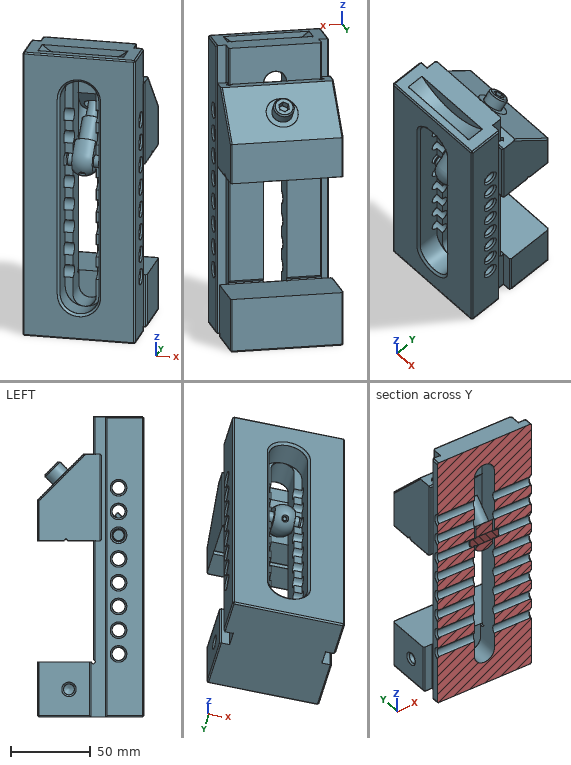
import cadquery as cq
import math


LENGTH = 190.0
WIDTH = 73.0
HEIGHT = 67.0
EDGE = 1.0
CHAMFER_ANGLE = 45

SHOULDER_Y = 24.1
RAIL_Y = 32.0
RAIL_WIDTH = 60.2
RELIEF = 1.5
FIXED_JAW_HEIGHT = 35.0
FIXED_JAW_GAP = 1.5
SLOT_WIDTH = 25.0
SLOT_LENGTH = 155.8
SLOT_CHAMFER = 1.5
NARROW_SLOT_WIDTH = 15.0
HOLE_D = 8.2
HOLE_CHAMFER = 1.1
HOLE_COUNT = 8
HOLE_PITCH = 15.0
FIRST_HOLE_Z = 39.9
HOLE_Y = 16.0
SCOOP_WIDTH = 55.5
SCOOP_Y = 5.5
SCOOP_THICKNESS = 11.8
SCOOP_DEPTH = 10.5
SIDE_HOLE_D = 6.8
SIDE_HOLE_DEPTH = 15.2
SIDE_HOLE_Y = 47.3
SIDE_HOLE_Z = 17.5

PIN_HOLE_INDEX = 5
PIN_Z = FIRST_HOLE_Z + PIN_HOLE_INDEX * HOLE_PITCH
SLOPE_DISTANCE = 51.9

JAW_BOTTOM = 111.3
JAW_TOP = 166.2
SKIRT_Y = 26.8
BORE_R = 9.0
BORE_END = 39.1
SCREW_HOLE_R = 6.5
GROOVE_Y = 49.2
GROOVE_DEPTH = 1.3

WASHER_R = 10.3
WASHER_THICKNESS = 5.7
SCREW_R = 4.0
HEAD_R = 6.6
HEAD_HEIGHT = 8.0
HEAD_CHAMFER = 1.0
SOCKET_FLATS = 6.0
SOCKET_DEPTH = 5.0
SCREW_TIP = 11.4
NUT_R = 9.9
NUT_WIDTH = 13.3
NUT_SHOULDER = 10.5
NECK_R = 6.0
NECK_END = 28.5
CENTRE_HOLE_R = 2.5
PILOT_R = 1.3
PILOT_DEPTH = 3.8
PIN_R = 4.0
PIN_LENGTH = 22.5
PIN_LEAD_LENGTH = 1.1
PIN_LEAD_DEPTH = 0.5

CLAMP_PLANE = cq.Plane(origin=(0, HOLE_Y, PIN_Z), xDir=(1, 0, 0), normal=(0, 1, 1))


def wide_box(width, y0, y1, z0, z1):
    """A box centred on X = 0."""
    corner = cq.Workplane("XY", origin=(-width / 2, y0, z0))
    return corner.box(width, y1 - y0, z1 - z0, centered=False)


def square_bar(length, half_diagonal):
    """A square bar along X, standing on one edge and centred on the origin."""
    side = half_diagonal * math.sqrt(2)
    return cq.Workplane("XY").box(length, side, side).rotate((0, 0, 0), (1, 0, 0), 45)


def axis_cylinder(radius, start, end):
    """A cylinder on the clamping axis between two distances from the pin centre."""
    return cq.Workplane(CLAMP_PLANE).workplane(offset=start).circle(radius).extrude(end - start)


def cross_cylinder(radius, length, y, z):
    """A cylinder along X, centred on X = 0."""
    return cq.Workplane("YZ", origin=(0, y, z)).circle(radius).extrude(length / 2, both=True)


def side_cone(start_radius, end_radius, length, x, y, z):
    """A cone that starts at x and runs towards +X."""
    return cq.Workplane(
        cq.Solid.makeCone(start_radius, end_radius, length, cq.Vector(x, y, z), cq.Vector(1, 0, 0))
    )


def base_slot(length, width, depth, taper=0):
    """A round-ended slot along Z, cut into the base face; taper narrows it inwards."""
    face = cq.Plane(origin=(0, 0, LENGTH / 2), xDir=(0, 0, 1), normal=(0, 1, 0))
    return cq.Workplane(face).slot2D(length, width).extrude(depth, taper=taper)


def fixed_jaw():
    """The fixed jaw with the narrower root that joins it to the rail."""
    underside_y = RAIL_Y + FIXED_JAW_GAP
    jaw = wide_box(WIDTH, underside_y, HEIGHT, 0, FIXED_JAW_HEIGHT)
    jaw = jaw.edges("(<X or >X or (<Z and >Y)) and (not >Z)").chamfer(EDGE)
    root = wide_box(RAIL_WIDTH, RAIL_Y - EDGE, underside_y + EDGE, 0, FIXED_JAW_HEIGHT)
    return jaw.union(root)


def side_hole():
    """The blind hole with a drill point in the -X side of the fixed jaw."""
    side = -WIDTH / 2
    radius = SIDE_HOLE_D / 2
    drill = cq.Workplane("YZ", origin=(side, SIDE_HOLE_Y, SIDE_HOLE_Z)).circle(radius).extrude(SIDE_HOLE_DEPTH)
    point = side_cone(radius, 0, radius / math.sqrt(3), side + SIDE_HOLE_DEPTH, SIDE_HOLE_Y, SIDE_HOLE_Z)
    mouth = side_cone(radius + HOLE_CHAMFER, radius, HOLE_CHAMFER, side, SIDE_HOLE_Y, SIDE_HOLE_Z)
    return drill.union(point).union(mouth)


def end_scoop():
    """The pocket in the upper end, with a floor curved about Y."""
    plane = cq.Workplane("XZ", origin=(0, SCOOP_Y + SCOOP_THICKNESS, LENGTH))
    half = SCOOP_WIDTH / 2
    return plane.moveTo(-half, 0).threePointArc((0, -SCOOP_DEPTH), (half, 0)).close().extrude(SCOOP_THICKNESS)


def pin_hole(z):
    """A cross hole through both side walls, chamfered at each mouth."""
    radius = HOLE_D / 2
    hole = cross_cylinder(radius, WIDTH, HOLE_Y, z)
    mouth = side_cone(radius + HOLE_CHAMFER, radius, HOLE_CHAMFER, -WIDTH / 2, HOLE_Y, z)
    return hole.union(mouth).union(mouth.mirror("YZ"))


def make_base():
    """The slotted rail body with its fixed jaw."""
    body = wide_box(WIDTH, 0, SHOULDER_Y, 0, LENGTH).edges("<X or >X or <Y").chamfer(EDGE)
    rail = wide_box(RAIL_WIDTH, SHOULDER_Y - 2 * EDGE, RAIL_Y, 0, LENGTH)
    rail = rail.edges("|Z and >Y").chamfer(EDGE)
    base = body.union(rail).union(fixed_jaw())
    base = base.cut(square_bar(WIDTH, RELIEF).translate((0, RAIL_Y, FIXED_JAW_HEIGHT)))
    base = base.cut(base_slot(SLOT_LENGTH, SLOT_WIDTH, HOLE_Y))
    mouth_length = SLOT_LENGTH + 2 * SLOT_CHAMFER
    mouth_width = SLOT_WIDTH + 2 * SLOT_CHAMFER
    base = base.cut(base_slot(mouth_length, mouth_width, SLOT_CHAMFER, CHAMFER_ANGLE))
    base = base.cut(base_slot(SLOT_LENGTH, NARROW_SLOT_WIDTH, RAIL_Y + RELIEF))
    for index in range(HOLE_COUNT):
        base = base.cut(pin_hole(FIRST_HOLE_Z + index * HOLE_PITCH))
    return base.cut(end_scoop()).cut(side_hole())


def make_movable_jaw():
    """The sloped jaw that slides along the rail."""
    slope_sum = HOLE_Y + PIN_Z + SLOPE_DISTANCE * math.sqrt(2)
    outline = [
        (SKIRT_Y, JAW_BOTTOM),
        (HEIGHT, JAW_BOTTOM),
        (HEIGHT, slope_sum - HEIGHT),
        (slope_sum - JAW_TOP, JAW_TOP),
        (SKIRT_Y, JAW_TOP),
    ]
    jaw = cq.Workplane("YZ").polyline(outline).close().extrude(WIDTH / 2, both=True)
    jaw = jaw.edges("(<X or >X) and (not <Z) and (not >Z)").edges("not <Y").chamfer(EDGE)
    jaw = jaw.faces("<Y").edges().chamfer(EDGE)

    jaw = jaw.cut(wide_box(RAIL_WIDTH, 0, RAIL_Y, 0, LENGTH))
    relief = square_bar(LENGTH, RELIEF).rotate((0, 0, 0), (0, 1, 0), 90)
    for side in (-1, 1):
        jaw = jaw.cut(relief.translate((side * RAIL_WIDTH / 2, RAIL_Y, JAW_BOTTOM)))

    jaw = jaw.cut(axis_cylinder(BORE_R, 0, BORE_END))
    pocket = cq.Workplane(CLAMP_PLANE).center(0, -LENGTH / 4).rect(2 * BORE_R, LENGTH / 2)
    jaw = jaw.cut(pocket.extrude(BORE_END))

    jaw = jaw.cut(axis_cylinder(SCREW_HOLE_R, 0, SLOPE_DISTANCE))
    jaw = jaw.cut(axis_cylinder(WASHER_R, SLOPE_DISTANCE - WASHER_THICKNESS, SLOPE_DISTANCE))

    return jaw.cut(square_bar(WIDTH, GROOVE_DEPTH).translate((0, GROOVE_Y, JAW_BOTTOM)))


def make_washer():
    """The round washer set flush in the slope of the movable jaw."""
    washer = axis_cylinder(WASHER_R, SLOPE_DISTANCE - WASHER_THICKNESS, SLOPE_DISTANCE)
    return washer.cut(axis_cylinder(SCREW_R, 0, SLOPE_DISTANCE))


def make_screw():
    """The socket head screw on the clamping axis."""
    head_top = SLOPE_DISTANCE + HEAD_HEIGHT
    shank = axis_cylinder(SCREW_R, SCREW_TIP, SLOPE_DISTANCE)
    head = cq.Workplane(CLAMP_PLANE).workplane(offset=SLOPE_DISTANCE).circle(HEAD_R).extrude(HEAD_HEIGHT)
    head = head.edges(cq.selectors.NearestToPointSelector((0, HEIGHT, LENGTH))).chamfer(HEAD_CHAMFER)
    socket = (
        cq.Workplane(CLAMP_PLANE)
        .workplane(offset=head_top)
        .polygon(6, SOCKET_FLATS, circumscribed=True)
        .extrude(-SOCKET_DEPTH)
    )
    return shank.union(head).cut(socket)


def make_nut():
    """The ball-ended nut with two flats, a round neck and a centre hole in its tip."""
    ball = cq.Workplane(CLAMP_PLANE).sphere(NUT_R)
    body = ball.union(axis_cylinder(NUT_R, 0, NUT_SHOULDER))
    flats = wide_box(NUT_WIDTH, -HEIGHT, HEIGHT, 0, LENGTH)
    nut = body.intersect(flats).union(axis_cylinder(NECK_R, 0, NECK_END))
    nut = nut.cut(axis_cylinder(SCREW_R, SCREW_TIP, NECK_END))
    nut = nut.cut(cross_cylinder(PIN_R, WIDTH, HOLE_Y, PIN_Z))
    countersink_depth = CENTRE_HOLE_R - PILOT_R
    countersink = cq.Workplane(CLAMP_PLANE).workplane(offset=-NUT_R).circle(CENTRE_HOLE_R)
    nut = nut.cut(countersink.extrude(countersink_depth, taper=CHAMFER_ANGLE))
    return nut.cut(axis_cylinder(PILOT_R, -NUT_R, PILOT_DEPTH - NUT_R))


def make_pin():
    """A round pin along X with a slim lead-in at each end."""
    half = PIN_LENGTH / 2
    profile = [
        (-half, 0),
        (-half, PIN_R - PIN_LEAD_DEPTH),
        (-half + PIN_LEAD_LENGTH, PIN_R),
        (half - PIN_LEAD_LENGTH, PIN_R),
        (half, PIN_R - PIN_LEAD_DEPTH),
        (half, 0),
    ]
    pin = cq.Workplane("XY", origin=(0, HOLE_Y, PIN_Z)).polyline(profile).close()
    return pin.revolve(360, (0, 0, 0), (1, 0, 0))


base = make_base()
movable_jaw = make_movable_jaw()
washer = make_washer()
screw = make_screw()
nut = make_nut()
pin = make_pin()

result = cq.Compound.makeCompound(
    [base.val(), movable_jaw.val(), washer.val(), screw.val(), nut.val(), pin.val()]
)